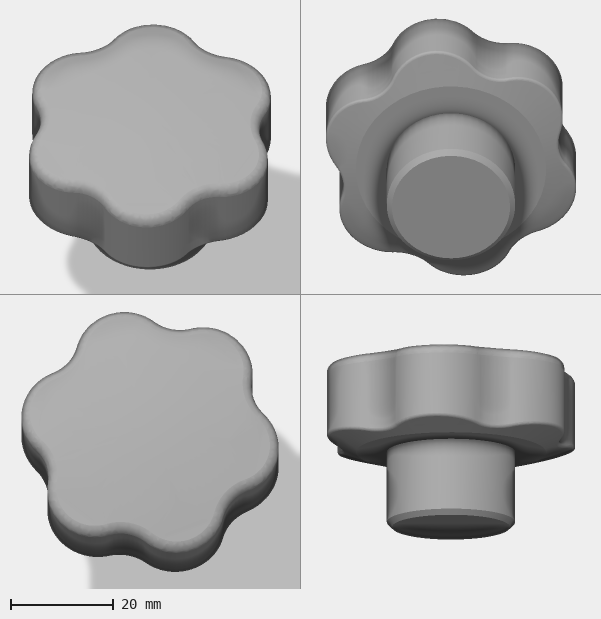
import cadquery as cq
import math

total_height = 32.95
head_radius = 25.35
half_width_x = 23.2
lobe_count = 6
valley_arc_radius = 7.8
hub_diameter = 25.0
hub_height = 14.9
hub_chamfer = 1.0
underside_flat_diameter = 37.0
underside_rise = 2.0
dome_drop = 1.95
top_fillet = 2.0
bottom_fillet = 0.6
overlap = 1.0

half_pitch = math.pi / lobe_count
lobe_center_radius = (head_radius - half_width_x) / (1 - math.cos(half_pitch))
lobe_radius = head_radius - lobe_center_radius

valley_center_radius = lobe_center_radius * math.cos(half_pitch) + math.sqrt(
    (lobe_radius + valley_arc_radius) ** 2 - (lobe_center_radius * math.sin(half_pitch)) ** 2
)
valley_floor_radius = valley_center_radius - valley_arc_radius


def polar(radius, angle):
    return (radius * math.cos(angle), radius * math.sin(angle))


def tangent_point(lobe_angle, side):
    """Point where a lobe meets the valley on its given side (+1 or -1)."""
    lobe_x, lobe_y = polar(lobe_center_radius, lobe_angle)
    valley_x, valley_y = polar(valley_center_radius, lobe_angle + side * half_pitch)
    share = lobe_radius / (lobe_radius + valley_arc_radius)
    return (lobe_x + share * (valley_x - lobe_x), lobe_y + share * (valley_y - lobe_y))


def lobed_prism():
    first_lobe = math.pi / 2
    outline = cq.Workplane("XY").workplane(offset=hub_height).moveTo(*tangent_point(first_lobe, -1))
    for index in range(lobe_count):
        lobe_angle = first_lobe + index * 2 * half_pitch
        next_lobe = lobe_angle + 2 * half_pitch
        outline = outline.threePointArc(polar(head_radius, lobe_angle), tangent_point(lobe_angle, 1))
        outline = outline.threePointArc(
            polar(valley_floor_radius, lobe_angle + half_pitch), tangent_point(next_lobe, -1)
        )
    return outline.close().extrude(total_height)


def head_envelope():
    """Revolved body with a spherical top and a conical underside."""
    dome_radius = (head_radius ** 2 + dome_drop ** 2) / (2 * dome_drop)

    def dome_height(radius):
        return total_height - dome_radius + math.sqrt(dome_radius ** 2 - radius ** 2)

    flat_radius = underside_flat_diameter / 2
    outer_radius = head_radius + overlap
    cone_slope = underside_rise / (head_radius - flat_radius)
    return (
        cq.Workplane("XZ")
        .moveTo(0, hub_height)
        .lineTo(flat_radius, hub_height)
        .lineTo(outer_radius, hub_height + cone_slope * (outer_radius - flat_radius))
        .lineTo(outer_radius, dome_height(outer_radius))
        .threePointArc((outer_radius / 2, dome_height(outer_radius / 2)), (0, total_height))
        .close()
        .revolve(360, (0, 0, 0), (0, 1, 0))
    )


def hub():
    return cq.Workplane("XY").circle(hub_diameter / 2).extrude(hub_height).faces("<Z").chamfer(hub_chamfer)


head = lobed_prism().intersect(head_envelope())
head = head.faces("%SPHERE").edges("%BSPLINE").fillet(top_fillet)
head = head.faces("%CONE").edges("%BSPLINE").fillet(bottom_fillet)

result = head.union(hub())